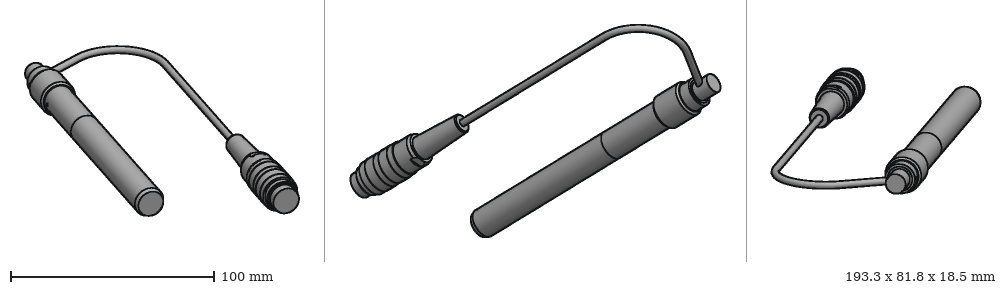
import cadquery as cq
import math

CONNECTOR_Y = 63.4
OVERALL_LENGTH = 193.3

STUB_DIAMETER = 10.0
STUB_LENGTH = 9.9
ROOT_DIAMETER = 12.4

BARREL_DIAMETER = 15.0
COLLAR_LENGTH = 6.2
GRIP_DIAMETER = 18.2
GRIP_END_DIAMETER = 16.0
GRIP_LENGTH = 17.5
GRIP_CHAMFER = 1.2
GRIP_START = STUB_LENGTH + COLLAR_LENGTH
GRIP_END = GRIP_START + GRIP_LENGTH
SEAM_X = 69.8

RADIAL_HOLE_DIAMETER = 1.5
COLLAR_HOLE_X = STUB_LENGTH + COLLAR_LENGTH / 2
BARREL_HOLE_SETBACK = 3.5
BARREL_HOLE_X = GRIP_END + BARREL_HOLE_SETBACK
HOLE_DEPTH = (BARREL_DIAMETER - ROOT_DIAMETER) / 2

PROBE_LENGTH = 160.0
REAR_CHAMFER_LENGTH = 2.3
REAR_CHAMFER_DEPTH = 1.0

CABLE_DIAMETER = 3.7
CABLE_BEND_RADIUS = 25.0
CABLE_SLANT = math.radians(60)
CABLE_LEFT_X = -12.4
CABLE_SOCKET_DEPTH = 3.9

BOOT_START = 110.7
BOOT_START_DIAMETER = 10.0
BOOT_END_DIAMETER = 12.5
BOOT_CHAMFER = 0.5

SHELL_START = 138.8
SHELL_START_DIAMETER = 15.7
SHELL_DIAMETER = 17.0
SHELL_CHAMFER_LENGTH = 2.0
FLAT_LENGTH = 3.9
FLATS_WIDTH = 15.0

SLEEVE_START = 150.0
SLEEVE_END = 172.5
SLEEVE_DIAMETER = 18.2
BAND_DIAMETER = 18.5
BAND_STARTS = (153.6, 163.0)
BAND_LENGTH = 5.8

NOSE_DIAMETER = 16.0
NOSE_END = 176.3
NOSE_CHAMFER = 0.5
TIP_DIAMETER = 13.5
TIP_END = CABLE_LEFT_X + OVERALL_LENGTH


def turned(stations):
    """Solid of revolution about X from (x, diameter) stations."""
    profile = cq.Workplane("XY").moveTo(stations[0][0], 0)
    for x, diameter in stations:
        profile = profile.lineTo(x, diameter / 2)
    profile = profile.lineTo(stations[-1][0], 0).close()
    return profile.revolve(360, (0, 0, 0), (1, 0, 0))


def rod(start, end, diameter):
    return turned([(start, diameter), (end, diameter)])


def make_cable():
    """Round cable swept in the Z = 0 plane, from the stub axis to inside the boot."""
    bend_x = CABLE_LEFT_X + CABLE_DIAMETER / 2 + CABLE_BEND_RADIUS
    bend_y = CONNECTOR_Y - CABLE_BEND_RADIUS

    def on_bend(angle):
        return (
            bend_x + CABLE_BEND_RADIUS * math.cos(angle),
            bend_y + CABLE_BEND_RADIUS * math.sin(angle),
        )

    slant_end_angle = 1.5 * math.pi - CABLE_SLANT
    slant_end = on_bend(slant_end_angle)
    top = on_bend(math.pi / 2)
    middle = on_bend((slant_end_angle + math.pi / 2) / 2)
    start = (slant_end[0] + slant_end[1] / math.tan(CABLE_SLANT), 0)
    path = (
        cq.Workplane("XY")
        .moveTo(*start)
        .lineTo(*slant_end)
        .threePointArc(middle, top)
        .lineTo(BOOT_START + CABLE_SOCKET_DEPTH, CONNECTOR_Y)
    )
    direction = (-math.cos(CABLE_SLANT), math.sin(CABLE_SLANT), 0)
    section = cq.Workplane(cq.Plane(origin=(start[0], 0, 0), xDir=(0, 0, 1), normal=direction))
    return section.circle(CABLE_DIAMETER / 2).sweep(path)


def make_stub_blank():
    """Cable stub with a wider root that sits inside the collar, flush with its end.

    The cable socket is not cut yet.
    """
    return turned([
        (0, STUB_DIAMETER),
        (STUB_LENGTH, STUB_DIAMETER),
        (STUB_LENGTH, ROOT_DIAMETER),
        (GRIP_START, ROOT_DIAMETER),
    ])


def radial_hole(x):
    """Cutter for a hole that reaches HOLE_DEPTH into the barrel surface."""
    plane = cq.Plane(origin=(x, -BARREL_DIAMETER / 2, 0), xDir=(1, 0, 0), normal=(0, 1, 0))
    return cq.Workplane(plane).circle(RADIAL_HOLE_DIAMETER / 2).extrude(HOLE_DEPTH)


def make_front_housing():
    """Collar, grip ring and barrel, with a recess for the stub root and two radial holes."""
    housing = turned([
        (STUB_LENGTH, BARREL_DIAMETER),
        (GRIP_START, BARREL_DIAMETER),
        (GRIP_START, GRIP_END_DIAMETER),
        (GRIP_START + GRIP_CHAMFER, GRIP_DIAMETER),
        (GRIP_END - GRIP_CHAMFER, GRIP_DIAMETER),
        (GRIP_END, GRIP_END_DIAMETER),
        (GRIP_END, BARREL_DIAMETER),
        (SEAM_X, BARREL_DIAMETER),
    ])
    housing = housing.cut(rod(STUB_LENGTH, GRIP_START, ROOT_DIAMETER))
    for x in (COLLAR_HOLE_X, BARREL_HOLE_X):
        housing = housing.cut(radial_hole(x))
    return housing


def make_rear_tube():
    return turned([
        (SEAM_X, BARREL_DIAMETER),
        (PROBE_LENGTH - REAR_CHAMFER_LENGTH, BARREL_DIAMETER),
        (PROBE_LENGTH, BARREL_DIAMETER - 2 * REAR_CHAMFER_DEPTH),
    ])


def make_connector_blank():
    """Boot, shell with two wrench flats, banded sleeve, nose and tip, without the cable socket."""
    stations = [
        (BOOT_START, BOOT_START_DIAMETER - 2 * BOOT_CHAMFER),
        (BOOT_START + BOOT_CHAMFER, BOOT_START_DIAMETER),
        (SHELL_START, BOOT_END_DIAMETER),
        (SHELL_START, SHELL_START_DIAMETER),
        (SHELL_START + SHELL_CHAMFER_LENGTH, SHELL_DIAMETER),
        (SLEEVE_START, SHELL_DIAMETER),
        (SLEEVE_START, SLEEVE_DIAMETER),
    ]
    for start in BAND_STARTS:
        stations += [
            (start, SLEEVE_DIAMETER),
            (start, BAND_DIAMETER),
            (start + BAND_LENGTH, BAND_DIAMETER),
            (start + BAND_LENGTH, SLEEVE_DIAMETER),
        ]
    stations += [
        (SLEEVE_END, SLEEVE_DIAMETER),
        (SLEEVE_END, NOSE_DIAMETER),
        (NOSE_END - NOSE_CHAMFER, NOSE_DIAMETER),
        (NOSE_END, NOSE_DIAMETER - 2 * NOSE_CHAMFER),
        (NOSE_END, TIP_DIAMETER),
        (TIP_END, TIP_DIAMETER),
    ]
    connector = turned(stations)
    block = cq.Workplane("XY").box(FLAT_LENGTH, SHELL_DIAMETER, SHELL_DIAMETER)
    block_x = SHELL_START + FLAT_LENGTH / 2
    block_z = (FLATS_WIDTH + SHELL_DIAMETER) / 2
    for side in (1, -1):
        connector = connector.cut(block.translate((block_x, 0, side * block_z)))
    return connector.translate((0, CONNECTOR_Y, 0))


cable = make_cable()
stub = make_stub_blank().cut(cable)
front_housing = make_front_housing()
rear_tube = make_rear_tube()
connector = make_connector_blank().cut(cable)

result = cq.Compound.makeCompound([
    cable.val(),
    stub.val(),
    front_housing.val(),
    rear_tube.val(),
    connector.val(),
])